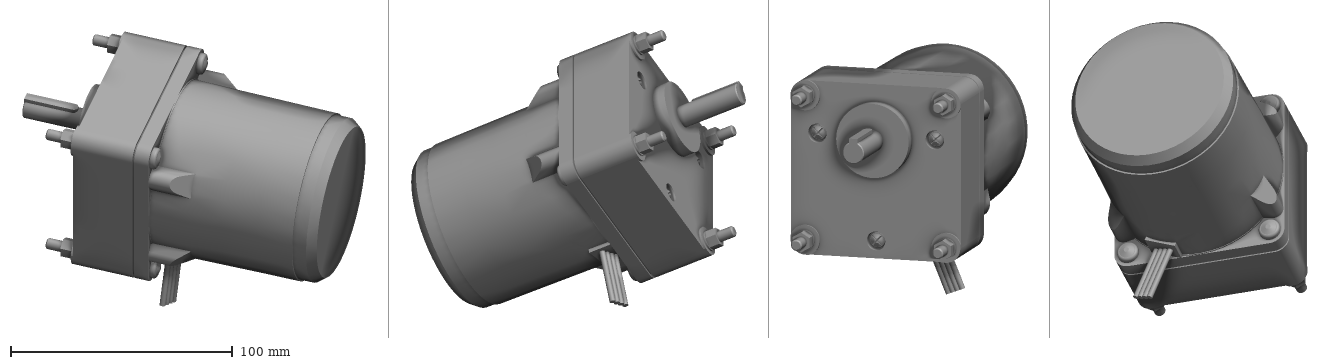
import cadquery as cq
import math


gearbox_side = 80.0
corner_radius = 6.9
gearbox_length = 28.0
flange_length = 6.8
seam_width = 0.9
seam_depth = 1.0
flange_start = gearbox_length + seam_width
flange_back = flange_start + flange_length

shaft_height = 15.0
boss_diameter = 34.0
boss_length = 5.8
shaft_diameter = 10.0
shaft_length = 30.0
shaft_chamfer = 0.5
shaft_tip = -boss_length - shaft_length
key_width = 4.0
key_length = 25.0
key_top = 6.6

bolt_offset = 33.3
bolt_diameter = 5.1
bolt_tip = -14.5
bolt_chamfer = 0.6
pad_diameter = 14.0
pad_thickness = 1.0
washer_diameter = 9.3
washer_thickness = 0.8
nut_across_flats = 8.0
nut_thickness = 5.1
head_diameter = 9.9
head_rim = 1.4
head_edge_round = 1.4
head_height = 3.6

screw_circle_radius = 32.0
screw_angles = (30, 150, 270)
screw_hole_diameter = 8.7
screw_hole_depth = 3.0
screw_head_diameter = 7.4
screw_head_rim = 0.6
screw_head_round = 0.6
screw_head_height = 2.4
cross_length = 6.0
cross_width = 0.6
cross_depth = 1.5

spigot_radius = 39.9
spigot_length = 0.6
motor_start_radius = 39.6
motor_end_radius = 38.8
cap_radius = 38.1
cap_rim_radius = 35.0
overall_length = 150.0
motor_back = overall_length + shaft_tip
cap_chamfer_length = 4.0
cap_length = 10.5
cap_start = motor_back - cap_length
cap_chamfer_start = motor_back - cap_chamfer_length

rib_angle = 32.5
rib_flank_angle = 21.0
rib_tip_radius = 4.5
rib_centre_distance = 41.5
rib_root_distance = 33.0
rib_foot_distance = 39.6
rib_foot_length = 18.3
rib_slope = 1.3

lead_angle = 22.5
outlet_width = 15.3
outlet_length = 10.6
outlet_bottom = 40.5
outlet_depth = 6.8
wire_count = 4
wire_diameter = 2.7
wire_row_width = 10.5
wire_pitch = (wire_row_width - wire_diameter) / (wire_count - 1)
wire_step = 0.9
first_wire_x = flange_back + 3.2
wire_end_distance = 66.2


def yz_plane(x):
    """Plane facing +X whose local axes are Y and Z."""
    return cq.Workplane("YZ", origin=(x, 0, 0))


def disc(x_start, x_end, diameter, y=0.0, z=0.0):
    """Cylinder along X between two positions."""
    return yz_plane(x_start).center(y, z).circle(diameter / 2).extrude(x_end - x_start)


def square_block(x_start, x_end, side):
    """Square block along X with rounded corners."""
    block = yz_plane(x_start).rect(side, side).extrude(x_end - x_start)
    return block.edges("|X").fillet(corner_radius)


def domed_head(diameter, rim, edge_round, height):
    """Screw head seated on X = 0 and rising along +X to a shallow crown with a flat centre."""
    radius = diameter / 2
    crown_radius = radius - edge_round
    flat_radius = crown_radius / 3
    return (
        cq.Workplane("XY")
        .lineTo(0, radius)
        .lineTo(rim, radius)
        .radiusArc((rim + edge_round, crown_radius), edge_round)
        .lineTo(height, flat_radius)
        .lineTo(height, 0)
        .close()
        .revolve(360, (0, 0, 0), (1, 0, 0))
    )


def make_gearbox():
    front = square_block(0, gearbox_length, gearbox_side)
    seam = square_block(gearbox_length, flange_start, gearbox_side - 2 * seam_depth)
    flange = square_block(flange_start, flange_back, gearbox_side)
    return front.union(seam).union(flange)


def make_output():
    boss = disc(-boss_length, 0, boss_diameter, z=shaft_height)
    shaft = disc(shaft_tip, -boss_length, shaft_diameter, z=shaft_height)
    shaft = shaft.faces("<X").chamfer(shaft_chamfer)
    straight_length = key_length - key_width / 2
    key = (
        cq.Workplane("XY", origin=(shaft_tip, 0, shaft_height + key_top - key_width))
        .moveTo(0, -key_width / 2)
        .lineTo(straight_length, -key_width / 2)
        .threePointArc((key_length, 0), (straight_length, key_width / 2))
        .lineTo(0, key_width / 2)
        .close()
        .extrude(key_width)
    )
    return boss.union(shaft).union(key)


def make_bolt(y, z):
    """Corner bolt with its nut, washer, corner pad and domed rear head."""
    pad = disc(-pad_thickness, 0, pad_diameter, y, z)
    pad = pad.intersect(square_block(-pad_thickness, 0, gearbox_side))
    nut_back = -pad_thickness - washer_thickness
    nut_front = nut_back - nut_thickness
    washer = disc(nut_back, -pad_thickness, washer_diameter, y, z)
    nut_corner_diameter = nut_across_flats / math.cos(math.radians(30))
    nut = (
        yz_plane(nut_front)
        .center(y, z)
        .transformed(rotate=(0, 0, 90))
        .polygon(6, nut_corner_diameter)
        .extrude(nut_thickness)
    )
    thread = disc(bolt_tip, nut_front, bolt_diameter, y, z).faces("<X").chamfer(bolt_chamfer)
    head = domed_head(head_diameter, head_rim, head_edge_round, head_height).translate((flange_back, y, z))
    return pad.union(washer).union(nut).union(thread).union(head)


def make_motor():
    return (
        cq.Workplane("XY")
        .moveTo(flange_back, 0)
        .lineTo(flange_back, spigot_radius)
        .lineTo(flange_back + spigot_length, spigot_radius)
        .lineTo(flange_back + spigot_length, motor_start_radius)
        .lineTo(cap_start, motor_end_radius)
        .lineTo(cap_start, cap_radius)
        .lineTo(cap_chamfer_start, cap_radius)
        .lineTo(motor_back, cap_rim_radius)
        .lineTo(motor_back, 0)
        .close()
        .revolve(360, (0, 0, 0), (1, 0, 0))
    )


def make_rib():
    """Rib pointing along +Y: converging flanks, a round tip and a sloped end."""
    flank = math.radians(rib_flank_angle)
    tangent_y = rib_centre_distance + rib_tip_radius * math.sin(flank)
    tangent_z = rib_tip_radius * math.cos(flank)
    root_z = tangent_z + (tangent_y - rib_root_distance) * math.tan(flank)
    tip_y = rib_centre_distance + rib_tip_radius
    section = (
        yz_plane(flange_back)
        .moveTo(rib_root_distance, -root_z)
        .lineTo(tangent_y, -tangent_z)
        .threePointArc((tip_y, 0), (tangent_y, tangent_z))
        .lineTo(rib_root_distance, root_z)
        .close()
    )
    root_length = rib_foot_length + (rib_foot_distance - rib_root_distance) * rib_slope
    tip_length = rib_foot_length - (tip_y - rib_foot_distance) * rib_slope
    side_profile = (
        cq.Workplane("XY", origin=(flange_back, 0, -root_z))
        .moveTo(0, rib_root_distance)
        .lineTo(root_length, rib_root_distance)
        .lineTo(tip_length, tip_y)
        .lineTo(0, tip_y)
        .close()
        .extrude(2 * root_z)
    )
    return section.extrude(root_length).intersect(side_profile)


def make_leads():
    """Lead outlet and wires, built pointing along -Z."""
    outlet = cq.Workplane("XY").box(
        outlet_length, outlet_width, outlet_depth, centered=(False, True, False)
    )
    leads = outlet.translate((flange_back, 0, -outlet_bottom))
    for index in range(wire_count):
        y = (index - (wire_count - 1) / 2) * wire_pitch
        wire = (
            cq.Workplane("XY", origin=(first_wire_x + index * wire_step, y, -wire_end_distance))
            .circle(wire_diameter / 2)
            .extrude(wire_end_distance - outlet_bottom + outlet_depth / 2)
        )
        leads = leads.union(wire)
    return leads


def make_screw_recess(y, z):
    return disc(0, screw_hole_depth, screw_hole_diameter, y, z)


def make_screw_head(y, z):
    """Raised head on the floor of its recess, with a cross-shaped drive."""
    head = domed_head(screw_head_diameter, screw_head_rim, screw_head_round, screw_head_height)
    for angle in (45, 135):
        slot = yz_plane(screw_head_height - cross_depth).transformed(rotate=(0, 0, angle))
        head = head.cut(slot.rect(cross_length, cross_width).extrude(cross_depth))
    return head.rotate((0, 0, 0), (0, 0, 1), 180).translate((screw_hole_depth, y, z))


result = make_gearbox().union(make_output()).union(make_motor())

for y_side in (-1, 1):
    for z_side in (-1, 1):
        result = result.union(make_bolt(y_side * bolt_offset, z_side * bolt_offset))

for angle in (rib_angle, 180 - rib_angle, 180 + rib_angle, -rib_angle):
    result = result.union(make_rib().rotate((0, 0, 0), (1, 0, 0), angle))

for angle in screw_angles:
    screw_y = screw_circle_radius * math.cos(math.radians(angle))
    screw_z = screw_circle_radius * math.sin(math.radians(angle))
    result = result.cut(make_screw_recess(screw_y, screw_z))
    result = result.union(make_screw_head(screw_y, screw_z))

result = result.union(make_leads().rotate((0, 0, 0), (1, 0, 0), -lead_angle))